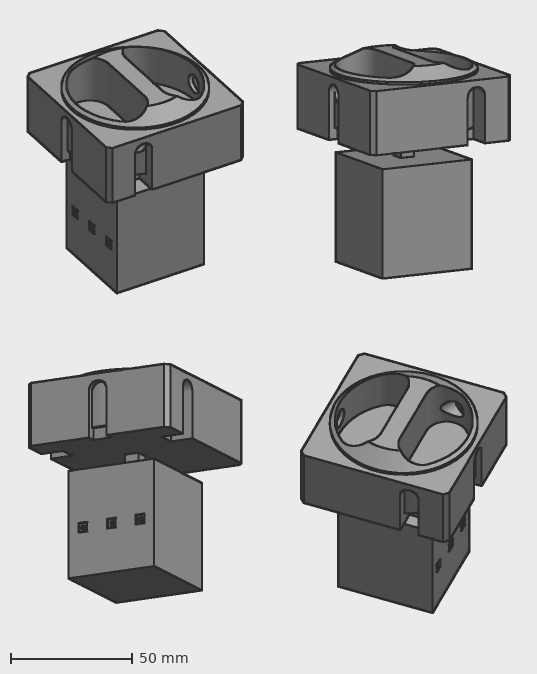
import cadquery as cq
import math

box_width = 40.0
box_depth = 42.0
box_height = 46.0
shaft_side = 6.3
shaft_length = 9.2

terminal_pitch = 13.4
terminal_height = 21.1
terminal_side = 4.0
terminal_recess_depth = 1.0
screw_hole_diameter = 2.0
screw_hole_depth = 2.0

frame_side = 66.0
frame_height = 27.0
frame_corner_chamfer = 2.0
frame_bottom = box_height + shaft_length
frame_top = frame_bottom + frame_height

dial_radius = 30.5
frame_floor_thickness = 5.0
dial_bottom = frame_bottom + frame_floor_thickness
dial_lip_height = 1.0
dial_height_above_frame = 6.0
dial_top_radius = 22.35
dial_shoulder = frame_top + dial_lip_height
dial_top = frame_top + dial_height_above_frame

grip_width = 8.4
pocket_outer_radius = 28.4
pocket_straight_half_length = 14.4
pocket_depth = 21.0
pocket_floor = dial_top - pocket_depth

slot_width = 8.2
slot_straight_height = 19.9
slot_center_height = frame_bottom + slot_straight_height
front_slot_depth = 4.0
side_slot_depth = 10.0
side_slot_offset = -16.0
padlock_hole_angles = (90.0, -30.0)
padlock_hole_start_radius = 21.0


def make_switch():
    box = cq.Workplane("XY").box(box_width, box_depth, box_height, centered=(True, True, False))
    shaft = (
        cq.Workplane("XY")
        .workplane(offset=box_height)
        .rect(shaft_side, shaft_side)
        .extrude(shaft_length)
    )
    switch = box.union(shaft)
    front = cq.Workplane("XZ", origin=(0, -box_depth / 2, terminal_height))
    for column in (-1, 0, 1):
        center = front.center(column * terminal_pitch, 0)
        recess = center.rect(terminal_side, terminal_side).extrude(-terminal_recess_depth)
        screw_hole = center.circle(screw_hole_diameter / 2).extrude(
            -(terminal_recess_depth + screw_hole_depth)
        )
        switch = switch.cut(recess).cut(screw_hole)
    return switch


def make_wall_slot(offset, depth, angle):
    """Round-topped slot, open below, in the -Y wall at X = offset, then turned about Z."""
    half_width = slot_width / 2
    slot = (
        cq.Workplane("XZ", origin=(offset, -frame_side / 2, 0))
        .moveTo(-half_width, frame_bottom)
        .lineTo(half_width, frame_bottom)
        .lineTo(half_width, slot_center_height)
        .threePointArc((0, slot_center_height + half_width), (-half_width, slot_center_height))
        .close()
        .extrude(-depth)
    )
    return slot.rotate((0, 0, 0), (0, 0, 1), angle)


def make_frame():
    frame = (
        cq.Workplane("XY")
        .workplane(offset=frame_bottom)
        .rect(frame_side, frame_side)
        .extrude(frame_height)
        .edges("|Z")
        .chamfer(frame_corner_chamfer)
    )
    for angle in (0, 180):
        frame = frame.cut(make_wall_slot(0, front_slot_depth, angle))
    frame = frame.cut(make_wall_slot(-side_slot_offset, side_slot_depth, -90))
    frame = frame.cut(make_wall_slot(side_slot_offset, side_slot_depth, 90))
    bore = (
        cq.Workplane("XY")
        .workplane(offset=dial_bottom)
        .circle(dial_radius)
        .extrude(frame_top - dial_bottom)
    )
    return frame.cut(bore)


def make_pocket():
    """Pocket on the +Y side of the grip: a straight wall, two tangent corner arcs, an outer arc."""
    wall_y = grip_width / 2
    half_length = pocket_straight_half_length
    corner_radius = (pocket_outer_radius**2 - half_length**2 - wall_y**2) / (
        2 * (pocket_outer_radius + wall_y)
    )
    corner_y = wall_y + corner_radius
    stretch = pocket_outer_radius / math.hypot(half_length, corner_y)
    tangent_x = half_length * stretch
    tangent_y = corner_y * stretch
    tip_x = half_length + corner_radius
    return (
        cq.Workplane("XY")
        .workplane(offset=pocket_floor)
        .moveTo(-half_length, wall_y)
        .lineTo(half_length, wall_y)
        .threePointArc((tip_x, corner_y), (tangent_x, tangent_y))
        .threePointArc((0, pocket_outer_radius), (-tangent_x, tangent_y))
        .threePointArc((-tip_x, corner_y), (-half_length, wall_y))
        .close()
        .extrude(pocket_depth)
    )


def make_padlock_hole(angle):
    """Radial hole from inside a pocket out through the dial wall, at an angle from +X."""
    hole = (
        cq.Workplane("YZ", origin=(padlock_hole_start_radius, 0, slot_center_height))
        .circle(slot_width / 2)
        .extrude(dial_radius - padlock_hole_start_radius)
    )
    return hole.rotate((0, 0, 0), (0, 0, 1), angle)


def make_dial():
    """Round dial with a short lip, a conical top, two finger pockets and two padlock holes."""
    dial = (
        cq.Workplane("XZ")
        .moveTo(0, dial_bottom)
        .lineTo(dial_radius, dial_bottom)
        .lineTo(dial_radius, dial_shoulder)
        .lineTo(dial_top_radius, dial_top)
        .lineTo(0, dial_top)
        .close()
        .revolve(360, (0, 0, 0), (0, 1, 0))
    )
    pocket = make_pocket()
    dial = dial.cut(pocket).cut(pocket.mirror("XZ"))
    for angle in padlock_hole_angles:
        dial = dial.cut(make_padlock_hole(angle))
    return dial


handle = make_frame().union(make_dial())
switch = make_switch()
result = cq.Compound.makeCompound([switch.val(), handle.val()])